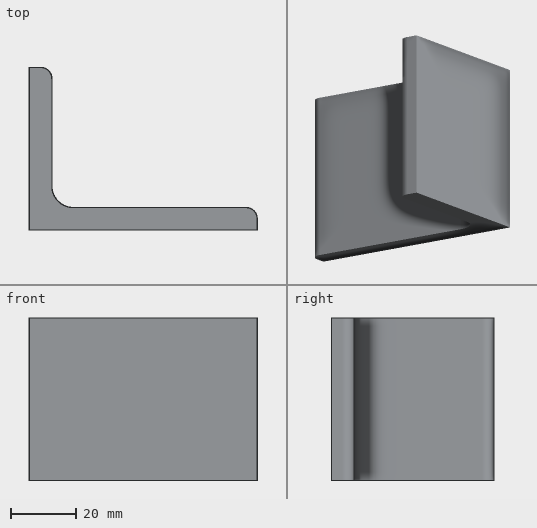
import cadquery as cq

long_leg = 70.0
short_leg = 50.0
leg_thickness = 7.0
length = 50.0
root_radius = 6.5
toe_radius = leg_thickness / 2


def sharp_angle():
    """L-shaped bar with its outer corner on the Z axis and all edges sharp."""
    outline = [
        (0, 0),
        (long_leg, 0),
        (long_leg, leg_thickness),
        (leg_thickness, leg_thickness),
        (leg_thickness, short_leg),
        (0, short_leg),
    ]
    return cq.Workplane("XY").polyline(outline).close().extrude(length)


def round_edge(body, x, y, radius):
    """Fillet the lengthwise edge that passes through (x, y)."""
    edge = cq.selectors.NearestToPointSelector((x, y, length / 2))
    return body.edges("|Z").edges(edge).fillet(radius)


result = sharp_angle()
result = round_edge(result, leg_thickness, leg_thickness, root_radius)
result = round_edge(result, long_leg, leg_thickness, toe_radius)
result = round_edge(result, leg_thickness, short_leg, toe_radius)